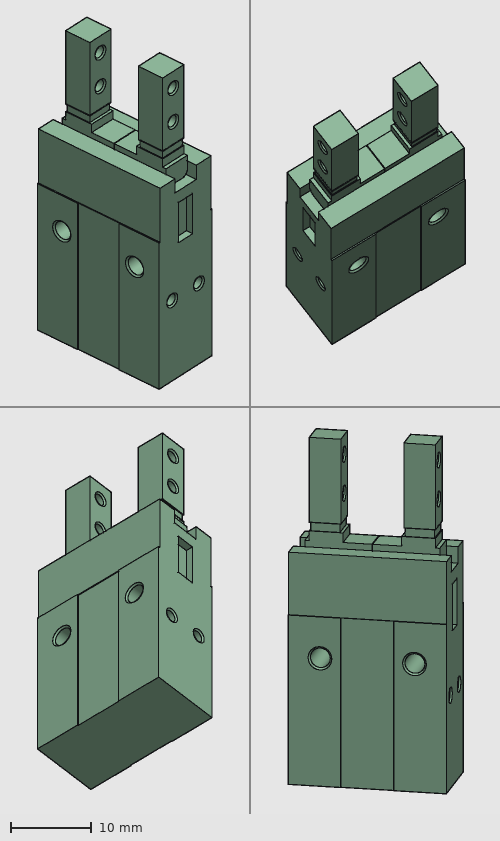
import cadquery as cq


OVERALL_HEIGHT = 44.0
CUT_MARGIN = 0.45

HOUSING_LENGTH = 20.0
BLOCK_WIDTH = 10.0
SHOULDER_Z = 21.82
FACE_RECESS_LENGTH = 6.8
FACE_RECESS_DEPTH = 0.1

TONGUE_WIDTH = 6.5
TONGUE_TOP_Z = 26.0
TONGUE_CORNER_RADIUS = 0.6
POCKET_WIDTH = 2.65
POCKET_BOTTOM_Z = 20.0
POCKET_DEPTH = 1.0

HEAD_WIDTH = 9.6
HEAD_TOP_Z = 29.88
SLOT_WIDTH = 4.0
SLOT_FLOOR_Z = 27.75

CROSS_HOLE_X = 6.0
CROSS_HOLE_Z = 16.5
CROSS_HOLE_DIAMETER = 2.5
CROSS_HOLE_MOUTH_DIAMETER = 3.0
END_HOLE_Y = 2.5
END_HOLE_Z = 12.0
END_HOLE_DEPTH = 4.0

SMALL_HOLE_DIAMETER = 1.6
SMALL_HOLE_MOUTH_DIAMETER = 2.02

FINGER_GAP = 0.1
SLIDER_OUTER_X = 8.55
SLIDER_TOP_Z = 30.7
SLIDER_CHAMFER = 0.55
FOOT_INNER_X = 3.7
FOOT_TOP_Z = 31.95
TIP_CENTER_X = 6.0
TIP_SIZE = 4.0
TIP_BOTTOM_Z = 33.05
NECK_INSET = 0.15
TIP_HOLE_DROP = 2.5
TIP_HOLE_SPACING = 5.0


def block(x_min, x_max, width, z_min, z_max):
    """Rectangular block centred on Y = 0."""
    length = x_max - x_min
    height = z_max - z_min
    return cq.Workplane("XY", origin=((x_min + x_max) / 2, 0, z_min)).box(
        length, width, height, centered=(True, True, False)
    )


def centered_block(length, width, z_min, z_max):
    """Rectangular block centred on the Z axis."""
    return block(-length / 2, length / 2, width, z_min, z_max)


def drill(start, direction, depth, bore_diameter, mouth_diameter, through=False):
    """Cutter for a hole with a 45 degree mouth at its start, and at its end if it is a through hole."""
    bore_radius = bore_diameter / 2
    mouth_radius = mouth_diameter / 2
    mouth_depth = mouth_radius - bore_radius
    start = cq.Vector(*start)
    direction = cq.Vector(*direction)
    cutter = cq.Solid.makeCylinder(bore_radius, depth, start, direction)
    cutter = cutter.fuse(cq.Solid.makeCone(mouth_radius, bore_radius, mouth_depth, start, direction))
    if through:
        end = start + direction * depth
        cutter = cutter.fuse(cq.Solid.makeCone(mouth_radius, bore_radius, mouth_depth, end, -direction))
    return cutter


def make_tongue():
    tongue = centered_block(HOUSING_LENGTH, TONGUE_WIDTH, SHOULDER_Z, TONGUE_TOP_Z)
    return tongue.edges("|X and >Z").fillet(TONGUE_CORNER_RADIUS)


def make_block():
    body = centered_block(HOUSING_LENGTH, BLOCK_WIDTH, 0, SHOULDER_Z)

    half_length = FACE_RECESS_LENGTH / 2
    floor_half_length = half_length - FACE_RECESS_DEPTH
    face_y = BLOCK_WIDTH / 2
    floor_y = face_y - FACE_RECESS_DEPTH
    recess = (
        cq.Workplane("XY")
        .polyline(
            [
                (-half_length, face_y),
                (-floor_half_length, floor_y),
                (floor_half_length, floor_y),
                (half_length, face_y),
            ]
        )
        .close()
        .extrude(SHOULDER_Z)
    )
    body = body.cut(recess).cut(recess.mirror("XZ"))

    body = body.union(make_tongue())

    for x in (-CROSS_HOLE_X, CROSS_HOLE_X):
        body = body.cut(
            drill(
                (x, -BLOCK_WIDTH / 2, CROSS_HOLE_Z),
                (0, 1, 0),
                BLOCK_WIDTH,
                CROSS_HOLE_DIAMETER,
                CROSS_HOLE_MOUTH_DIAMETER,
                through=True,
            )
        )

    for side in (-1, 1):
        end_x = side * HOUSING_LENGTH / 2
        pocket = centered_block(2 * POCKET_DEPTH, POCKET_WIDTH, POCKET_BOTTOM_Z, TONGUE_TOP_Z)
        body = body.cut(pocket.translate((end_x, 0, 0)))
        for y in (-END_HOLE_Y, END_HOLE_Y):
            body = body.cut(
                drill(
                    (end_x, y, END_HOLE_Z),
                    (-side, 0, 0),
                    END_HOLE_DEPTH,
                    SMALL_HOLE_DIAMETER,
                    SMALL_HOLE_MOUTH_DIAMETER,
                )
            )
    return body


def make_head():
    head = centered_block(HOUSING_LENGTH, HEAD_WIDTH, SHOULDER_Z, HEAD_TOP_Z)
    head = head.cut(make_tongue())
    slot = centered_block(HOUSING_LENGTH + 2 * CUT_MARGIN, SLOT_WIDTH, SLOT_FLOOR_Z, HEAD_TOP_Z + CUT_MARGIN)
    return head.cut(slot)


def make_housing():
    return make_block().union(make_head(), clean=False)


def make_finger():
    """Finger on the +X side."""
    tip_inner_x = TIP_CENTER_X - TIP_SIZE / 2
    tip_outer_x = TIP_CENTER_X + TIP_SIZE / 2

    slider = block(FINGER_GAP / 2, SLIDER_OUTER_X, SLOT_WIDTH, SLOT_FLOOR_Z, SLIDER_TOP_Z)
    slider = slider.edges("|X and <Z").chamfer(SLIDER_CHAMFER)
    foot = block(FOOT_INNER_X, tip_outer_x, SLOT_WIDTH, SLIDER_TOP_Z, FOOT_TOP_Z)
    neck = block(
        tip_inner_x + NECK_INSET, tip_outer_x - NECK_INSET, TIP_SIZE - 2 * NECK_INSET, FOOT_TOP_Z, TIP_BOTTOM_Z
    )
    tip = block(tip_inner_x, tip_outer_x, TIP_SIZE, TIP_BOTTOM_Z, OVERALL_HEIGHT)
    finger = slider.union(foot).union(neck).union(tip)

    upper_hole_z = OVERALL_HEIGHT - TIP_HOLE_DROP
    for z in (upper_hole_z, upper_hole_z - TIP_HOLE_SPACING):
        finger = finger.cut(
            drill(
                (tip_inner_x, 0, z),
                (1, 0, 0),
                TIP_SIZE,
                SMALL_HOLE_DIAMETER,
                SMALL_HOLE_MOUTH_DIAMETER,
                through=True,
            )
        )
    return finger


housing = make_housing()

fingers = []
for angle in (0, 180):
    fingers.append(make_finger().rotate((0, 0, 0), (0, 0, 1), angle).val())

result = cq.Compound.makeCompound([housing.val(), *fingers])